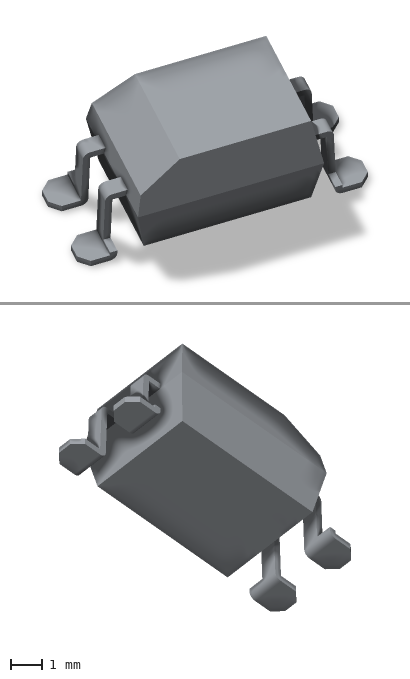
import cadquery as cq
import math

body_width = 4.58
body_length = 6.4
body_bottom = 0.35
body_top = 4.0
parting_z = (body_bottom + body_top) / 2
half_height = body_top - parting_z
body_draft = 10.0
draft_slope = math.tan(math.radians(body_draft))

slant_top_y = -1.64
slant_bottom_z = 3.01

strip = 0.25
overall_length = 10.0
lead_pitch = 2.54
foot_width = 1.2
leg_width = foot_width / 2
foot_chamfer = 0.34
leg_splay = 2.0
foot_heel_y = 4.0
shoulder_z = 0.38
splay = math.radians(leg_splay)
foot_tip_y = overall_length / 2
foot_inner_x = (lead_pitch - foot_width) / 2
foot_outer_x = foot_inner_x + foot_width
leg_outer_x = foot_inner_x + leg_width


def body_face_y(z):
    """Distance of the upper drafted end face from the middle at height z."""
    return body_length / 2 - (z - parting_z) * draft_slope


def make_half(height):
    """One housing half, tapering away from the parting plane."""
    return (
        cq.Workplane("XY").workplane(offset=parting_z)
        .rect(body_width, body_length)
        .extrude(height, taper=body_draft)
    )


def make_housing():
    housing = make_half(half_height).union(make_half(-half_height))
    slant_bottom_y = -body_face_y(slant_bottom_z)
    rise = (body_top - slant_bottom_z) / (slant_top_y - slant_bottom_y)
    outside_y = -body_length
    above_z = 2 * body_top
    wedge = (
        cq.Workplane("YZ")
        .polyline([
            (outside_y, body_top + (outside_y - slant_top_y) * rise),
            (slant_top_y + (above_z - body_top) / rise, above_z),
            (outside_y, above_z),
        ])
        .close()
        .extrude(body_width / 2, both=True)
    )
    return housing.cut(wedge)


def make_lead_strip():
    """Bent strip at the full foot width, starting on the housing end face."""
    lower_y, lower_z = foot_heel_y, strip
    upper_z = parting_z
    inner_heel_y = foot_heel_y - strip / math.cos(splay)
    upper_y = inner_heel_y - (upper_z - lower_z) * math.tan(splay)
    across_y, across_z = math.cos(splay), math.sin(splay)
    middle = (math.pi / 2 + splay) / 2
    mid_y, mid_z = strip * math.cos(middle), strip * math.sin(middle)
    strip_top = upper_z + strip
    profile = (
        cq.Workplane("YZ").workplane(offset=foot_inner_x)
        .moveTo(body_face_y(strip_top), strip_top)
        .lineTo(upper_y, strip_top)
        .threePointArc(
            (upper_y + mid_y, upper_z + mid_z),
            (upper_y + strip * across_y, upper_z + strip * across_z),
        )
        .lineTo(lower_y, lower_z)
        .lineTo(foot_tip_y, strip)
        .lineTo(foot_tip_y, 0)
        .lineTo(lower_y, 0)
        .threePointArc(
            (lower_y - mid_y, lower_z - mid_z),
            (lower_y - strip * across_y, lower_z - strip * across_z),
        )
        .lineTo(upper_y, upper_z)
        .lineTo(body_face_y(upper_z), upper_z)
        .close()
    )
    return profile.extrude(foot_width)


def make_lead():
    """Lead in the +X +Y quadrant."""
    relief = cq.Workplane("XY").box(
        foot_outer_x - leg_outer_x, foot_tip_y, body_top, centered=False
    ).translate((leg_outer_x, 0, shoulder_z))
    lead = make_lead_strip().cut(relief)
    tip_edges = cq.selectors.BoxSelector(
        (foot_inner_x - strip, foot_tip_y - strip, -strip),
        (foot_outer_x + strip, foot_tip_y + strip, 2 * strip),
    )
    return lead.edges("|Z").edges(tip_edges).chamfer(foot_chamfer)


def make_leads():
    """Four mirrored leads, two at each end of the housing."""
    right_back = make_lead()
    left_back = right_back.mirror("YZ")
    leads = []
    for back_lead in (right_back, left_back):
        leads.append(back_lead.val())
        leads.append(back_lead.mirror("XZ").val())
    return leads


housing = make_housing()
leads = make_leads()
result = cq.Compound.makeCompound([housing.val(), *leads])